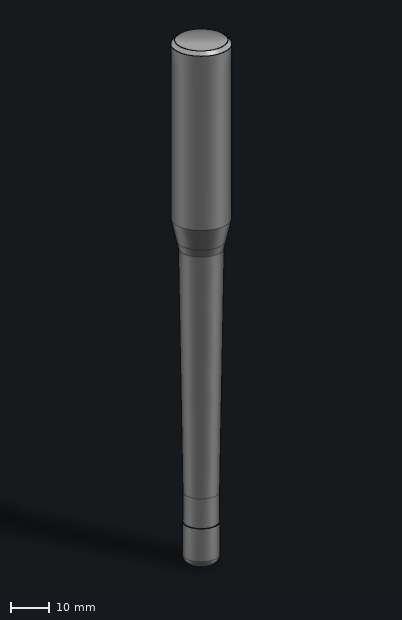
import cadquery as cq

total_length = 150.0

shank_diameter = 16.0
shank_chamfer = 1.0
shank_bottom_z = 98.8
cone_bottom_z = 92.5
cone_bottom_diameter = 13.2
neck_top_z = 90.3
neck_top_diameter = 12.2
neck_taper_bottom_z = 20.2
neck_bottom_diameter = 9.8

head_diameter = 10.0
head_length = 11.7
head_corner_radius = 2.2


def make_holder():
    """Shank, cone and neck as one revolved body; a concave arc blends the cone into the neck."""
    shank_radius = shank_diameter / 2
    cone_bottom_radius = cone_bottom_diameter / 2
    neck_top_radius = neck_top_diameter / 2
    neck_bottom_radius = neck_bottom_diameter / 2
    return (
        cq.Workplane("XZ")
        .moveTo(0, total_length)
        .lineTo(shank_radius - shank_chamfer, total_length)
        .lineTo(shank_radius, total_length - shank_chamfer)
        .lineTo(shank_radius, shank_bottom_z)
        .lineTo(cone_bottom_radius, cone_bottom_z)
        .tangentArcPoint((neck_top_radius, neck_top_z), relative=False)
        .lineTo(neck_bottom_radius, neck_taper_bottom_z)
        .lineTo(neck_bottom_radius, head_length)
        .lineTo(0, head_length)
        .close()
        .revolve(360, (0, 0, 0), (0, 1, 0))
    )


def make_cutting_head():
    """Cylindrical cutting head with a rounded lower corner."""
    return (
        cq.Workplane("XY")
        .circle(head_diameter / 2)
        .extrude(head_length)
        .faces("<Z")
        .edges()
        .fillet(head_corner_radius)
    )


holder = make_holder()
cutting_head = make_cutting_head()

result = cq.Compound.makeCompound([holder.val(), cutting_head.val()])